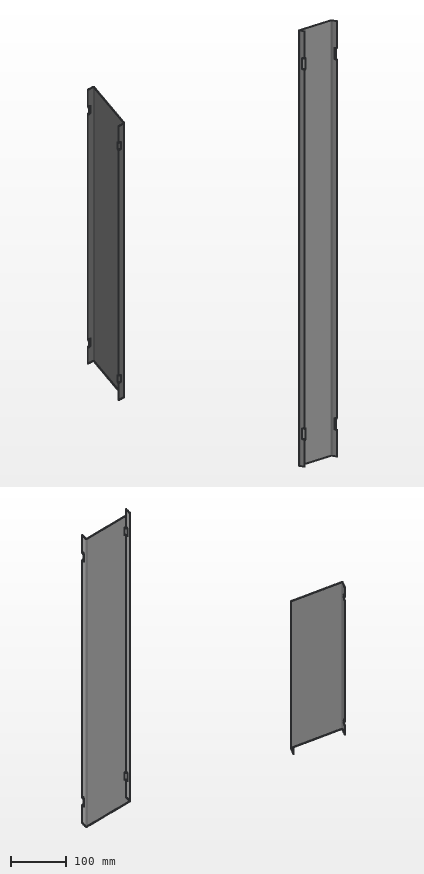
import cadquery as cq

length = 800.0
width = 100.0
depth = 13.0
thickness = 1.0
bend_radius = 1.2

dimple_spacing = 680.0
dimple_depth = 6.0
dimple_offset = 2.8
dimple_mouth = 22.0
dimple_floor = 18.0
dimple_root = 18.0
root_step = 0.2

free_edge = -depth / 2


def channel():
    """Thin U-shaped channel along Z with rounded bends."""
    outer = cq.Workplane("XY").box(width, depth, length).edges("|Z and >Y").fillet(bend_radius)
    cavity = (
        cq.Workplane("XY")
        .box(width - 2 * thickness, depth, length)
        .translate((0, -thickness, 0))
        .edges("|Z and >Y")
        .fillet(bend_radius - thickness)
    )
    return outer.cut(cavity)


def dimple_ramp(side, z_center, growth):
    """Ramp with sloping ends, deepest at the free edge and fading out on the flange face."""

    def section(y, outer_length, inner_length, offset):
        outer_x = side * width / 2
        inner_x = outer_x - side * (offset + growth)
        outer_half = outer_length / 2 + growth
        inner_half = inner_length / 2 + growth
        return cq.Wire.makePolygon([
            cq.Vector(outer_x, y, z_center - outer_half),
            cq.Vector(inner_x, y, z_center - inner_half),
            cq.Vector(inner_x, y, z_center + inner_half),
            cq.Vector(outer_x, y, z_center + outer_half),
        ], close=True)

    edge_section = section(free_edge, dimple_mouth, dimple_floor, dimple_offset)
    root_section = section(free_edge + dimple_depth, dimple_root, dimple_root, root_step)
    return cq.Workplane(cq.Solid.makeLoft([edge_section, root_section], True))


result = channel()
for side in (-1, 1):
    for z_center in (-dimple_spacing / 2, dimple_spacing / 2):
        result = result.union(dimple_ramp(side, z_center, thickness))
        result = result.cut(dimple_ramp(side, z_center, 0))